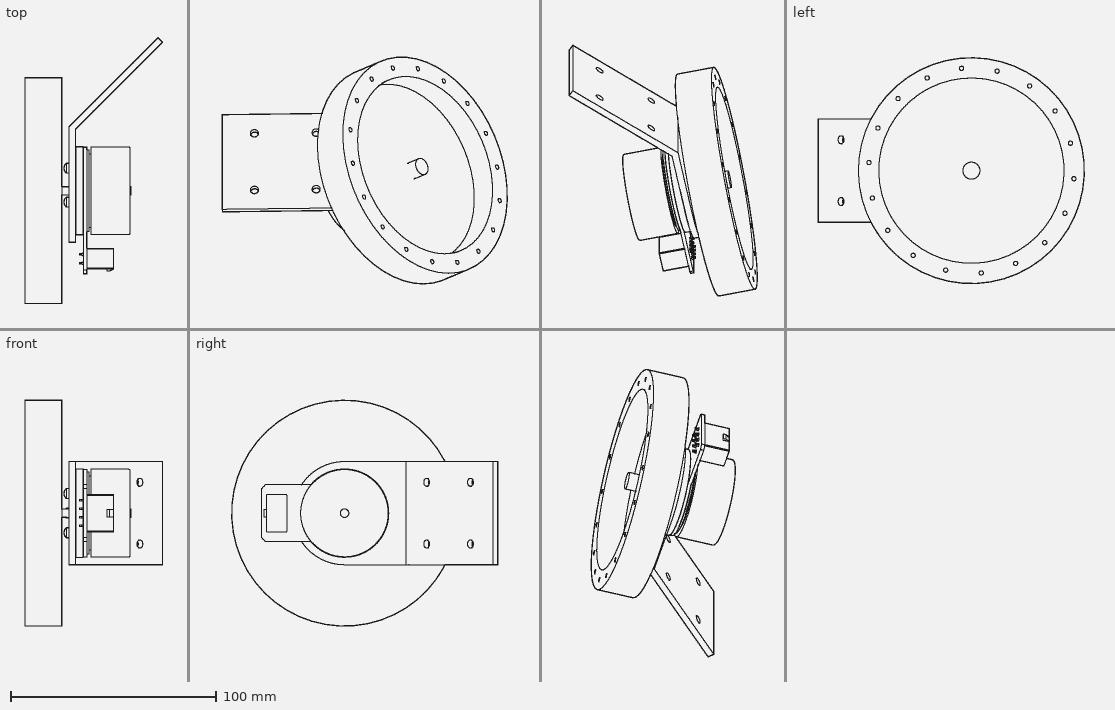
import cadquery as cq
import math


wheel_radius = 110.0 / 2
wheel_width = 18.0
recess_radius = 45.1
web_thickness = 5.0
hub_radius = 4.1
hub_length = 10.6
hub_fillet = 2.8
rim_hole_count = 18
rim_hole_radius = 1.0
rim_hole_circle = 50.0
rim_hole_depth = 13.0
wheel_turn = 154.5
web_face = wheel_width - web_thickness

bracket_gap = 3.5
plate = 3.2
bracket_half_width = 25.1
bend_height = 31.2
arm_angle = 45.0
arm_length = 61.3
arm_hole_radius = 2.0
arm_hole_spacing = 30.0
arm_hole_start = 15.5
bracket_face = wheel_width + bracket_gap
bracket_back = bracket_face + plate

shaft_radius = 2.1
shaft_insertion = 6.5
shaft_tail = 0.4
flange_radius = 21.5
flange_length = 3.8
flange_chamfer = 0.1
board_radius = 21.2
board_thickness = 1.7
collar_radius = 20.0
collar_length = 1.2
neck_radius = 18.0
neck_length = 0.8
rotor_radius = 21.4
rotor_length = 19.2
rotor_fillet = 0.8
board_face = bracket_back + flange_length
board_back = board_face + board_thickness
collar_back = board_back + collar_length
rotor_face = collar_back + neck_length
rotor_back = rotor_face + rotor_length

tongue_reach = 40.4
tongue_half_width = 13.9
tongue_chamfer = 2.0
tongue_root_fillet = 1.8

connector_length = 13.1
connector_near = 28.0
connector_far = 38.1
connector_half_width = 9.1
connector_chamfer = 0.4
latch_height = 1.0
latch_half_width = 1.8
latch_length = 3.4
latch_flat = 1.3

pin_rows = (31.0, 35.2)
pin_pitch = 4.1
pin_count = 4
pin_length = 1.8
pin_width = 0.6
pin_thickness = 0.8
pin_root_width = 1.5
pin_root_length = 0.9

screw_count = 3
screw_circle = 11.0
head_radius = 2.5
head_rim = 1.3
head_height = 2.5
shank_radius = 1.4
shank_length = plate + 2.6


def cylinder(start, length, radius, y=0.0, z=0.0):
    """Cylinder along +X that begins at X = start."""
    return cq.Workplane("YZ", origin=(start, y, z)).circle(radius).extrude(length)


def box(x_min, x_max, y_min, y_max, half_width):
    """Block that is symmetric about Z = 0."""
    return (
        cq.Workplane("XY", origin=(0, 0, -half_width))
        .moveTo(x_min, y_min)
        .lineTo(x_max, y_min)
        .lineTo(x_max, y_max)
        .lineTo(x_min, y_max)
        .close()
        .extrude(2 * half_width)
    )


def screw_places():
    """(Y, Z) of each screw axis, the first one on +Y."""
    step = 2 * math.pi / screw_count
    return [(screw_circle * math.cos(i * step), screw_circle * math.sin(i * step)) for i in range(screw_count)]


def make_wheel():
    fillet_middle = hub_fillet * (1 - math.sqrt(0.5))
    wheel = (
        cq.Workplane("XY")
        .moveTo(web_face - hub_length, 0)
        .lineTo(web_face - hub_length, hub_radius)
        .lineTo(web_face - hub_fillet, hub_radius)
        .threePointArc(
            (web_face - fillet_middle, hub_radius + fillet_middle),
            (web_face, hub_radius + hub_fillet),
        )
        .lineTo(web_face, recess_radius)
        .lineTo(0, recess_radius)
        .lineTo(0, wheel_radius)
        .lineTo(wheel_width, wheel_radius)
        .lineTo(wheel_width, 0)
        .close()
        .revolve(360, (0, 0, 0), (1, 0, 0))
    )
    rim_holes = (
        cq.Workplane("YZ")
        .polarArray(rim_hole_circle, 180 / rim_hole_count, 360, rim_hole_count)
        .circle(rim_hole_radius)
        .extrude(rim_hole_depth)
    )
    shaft_bore = cylinder(wheel_width - shaft_insertion, shaft_insertion, shaft_radius)
    wheel = wheel.cut(rim_holes).cut(shaft_bore)
    return wheel.rotate((0, 0, 0), (1, 0, 0), wheel_turn)


def make_bracket():
    angle = math.radians(arm_angle)
    along = (math.sin(angle), math.cos(angle))
    across = (math.cos(angle), -math.sin(angle))
    inner_bend_height = bend_height - plate * math.tan(angle / 2)
    tip_x = bracket_face + arm_length * along[0]
    tip_y = bend_height + arm_length * along[1]

    bracket = (
        cq.Workplane("XY", origin=(0, 0, -bracket_half_width))
        .moveTo(bracket_face, 0)
        .lineTo(bracket_face, bend_height)
        .lineTo(tip_x, tip_y)
        .lineTo(tip_x + plate * across[0], tip_y + plate * across[1])
        .lineTo(bracket_back, inner_bend_height)
        .lineTo(bracket_back, 0)
        .close()
        .extrude(2 * bracket_half_width)
    )
    bracket = bracket.union(cylinder(bracket_face, plate, bracket_half_width))

    arm_plane = cq.Plane(
        origin=(bracket_face, bend_height, 0),
        xDir=(along[0], along[1], 0),
        normal=(across[0], across[1], 0),
    )
    arm_holes = (
        cq.Workplane(arm_plane)
        .center(arm_hole_start + arm_hole_spacing / 2, 0)
        .rect(arm_hole_spacing, arm_hole_spacing, forConstruction=True)
        .vertices()
        .circle(arm_hole_radius)
        .extrude(plate)
    )
    bracket = bracket.cut(arm_holes)

    bracket = bracket.cut(cylinder(bracket_face, plate, shaft_radius))
    for y, z in screw_places():
        bracket = bracket.cut(cylinder(bracket_face, plate, shank_radius, y, z))
    return bracket


def make_board():
    disc = cylinder(board_face, board_thickness, board_radius)
    tongue = box(board_face, board_back, -tongue_reach, 0, tongue_half_width)
    tongue = tongue.edges("|X and <Y").chamfer(tongue_chamfer)
    board = disc.union(tongue)
    root_y = -math.sqrt(board_radius**2 - tongue_half_width**2)
    root_corners = cq.selectors.BoxSelector(
        (board_face - 0.1, root_y - 0.1, -tongue_half_width - 0.1),
        (board_back + 0.1, root_y + 0.1, tongue_half_width + 0.1),
    )
    return board.edges(root_corners).edges("|X").fillet(tongue_root_fillet)


def make_connector():
    end = board_back + connector_length
    connector = box(board_back, end, -connector_far, -connector_near, connector_half_width)
    connector = connector.edges("|X").chamfer(connector_chamfer)
    latch_start = end - latch_length
    latch = (
        cq.Workplane("XY", origin=(0, 0, -latch_half_width))
        .moveTo(latch_start, -connector_far)
        .lineTo(latch_start, -connector_far - latch_height)
        .lineTo(latch_start + latch_flat, -connector_far - latch_height)
        .lineTo(end, -connector_far)
        .close()
        .extrude(2 * latch_half_width)
    )
    return connector.union(latch)


def make_pin(y, z):
    """Pin that widens towards its root on the board."""
    tip = board_face - pin_length
    root = board_face - pin_root_length
    return (
        cq.Workplane("XY", origin=(0, y, z - pin_thickness / 2))
        .moveTo(tip, -pin_width / 2)
        .lineTo(root, -pin_width / 2)
        .lineTo(board_face, -pin_root_width / 2)
        .lineTo(board_face, pin_root_width / 2)
        .lineTo(root, pin_width / 2)
        .lineTo(tip, pin_width / 2)
        .close()
        .extrude(pin_thickness)
    )


def pin_places():
    """(Y, Z) of each connector pin."""
    z_places = [(i - (pin_count - 1) / 2) * pin_pitch for i in range(pin_count)]
    return [(-row, z) for row in pin_rows for z in z_places]


def make_motor():
    flange = cylinder(bracket_back, flange_length, flange_radius).edges().chamfer(flange_chamfer)
    collar = cylinder(board_back, collar_length, collar_radius)
    neck = cylinder(collar_back, neck_length, neck_radius)
    rotor = cylinder(rotor_face, rotor_length, rotor_radius).edges(">X").fillet(rotor_fillet)
    shaft_start = wheel_width - shaft_insertion
    shaft = cylinder(shaft_start, rotor_back + shaft_tail - shaft_start, shaft_radius)
    motor = flange.union(make_board()).union(collar).union(neck).union(rotor).union(shaft)
    motor = motor.union(make_connector())
    for y, z in pin_places():
        motor = motor.union(make_pin(y, z))
    for y, z in screw_places():
        motor = motor.cut(cylinder(bracket_face, shank_length, shank_radius, y, z))
    return motor


def make_screw(y, z):
    """Domed screw whose head seats on the bracket."""
    dome_height = head_height - head_rim
    sphere_radius = (head_radius**2 + dome_height**2) / (2 * dome_height)
    middle_x = -head_rim - dome_height / 2
    middle_radius = math.sqrt(sphere_radius**2 - (sphere_radius - dome_height / 2) ** 2)
    screw = (
        cq.Workplane("XY")
        .moveTo(-head_height, 0)
        .threePointArc((middle_x, middle_radius), (-head_rim, head_radius))
        .lineTo(0, head_radius)
        .lineTo(0, shank_radius)
        .lineTo(shank_length, shank_radius)
        .lineTo(shank_length, 0)
        .close()
        .revolve(360, (0, 0, 0), (1, 0, 0))
    )
    return screw.translate((bracket_face, y, z))


wheel = make_wheel()
bracket = make_bracket()
motor = make_motor()
screws = [make_screw(y, z) for y, z in screw_places()]

result = cq.Compound.makeCompound(
    [wheel.val(), bracket.val(), motor.val(), *[screw.val() for screw in screws]]
)